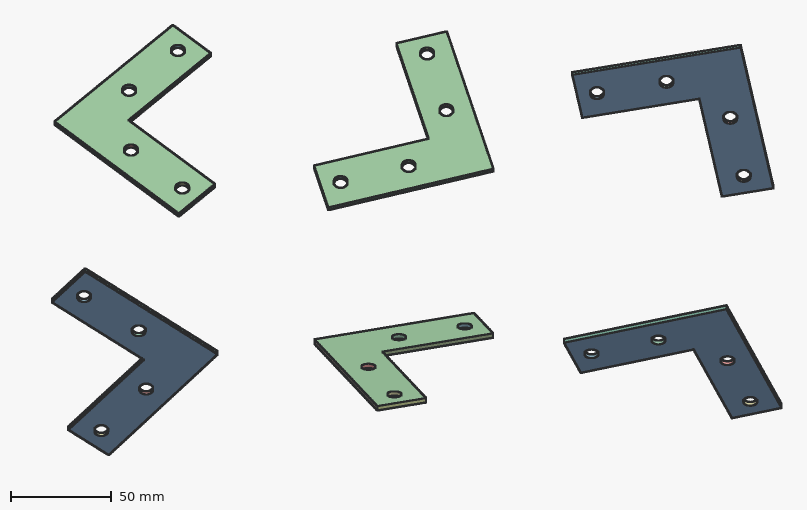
import cadquery as cq

leg_length = 85.0
leg_width = 26.0
thickness = 2.5
hole_diameter = 7.0
end_distance = 10.0
hole_pitch = 35.0

outline = [
    (0, 0),
    (leg_length, 0),
    (leg_length, leg_width),
    (leg_width, leg_width),
    (leg_width, leg_length),
    (0, leg_length),
]
plate = cq.Workplane("XY").polyline(outline).close().extrude(thickness)

centreline = leg_width / 2
outer_hole = leg_length - end_distance
inner_hole = outer_hole - hole_pitch
hole_centres = []
for distance in (inner_hole, outer_hole):
    hole_centres.append((distance, centreline))
    hole_centres.append((centreline, distance))

holes = (
    cq.Workplane("XY")
    .pushPoints(hole_centres)
    .circle(hole_diameter / 2)
    .extrude(thickness)
)

result = plate.cut(holes)